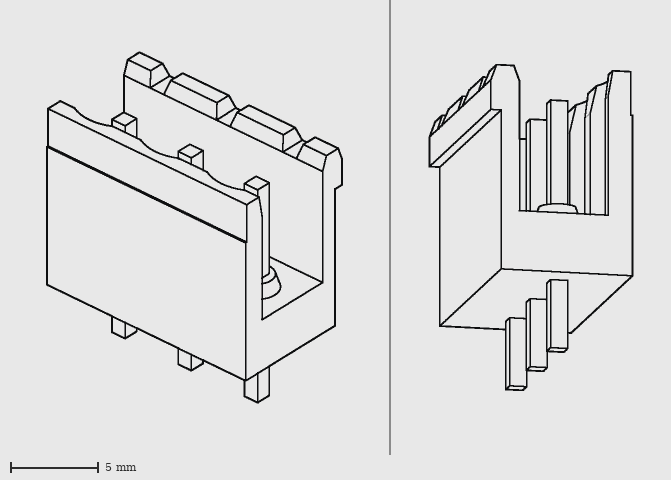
import cadquery as cq

length = 15.23
pole_count = 3
pitch = length / pole_count
pole_positions = [(i - (pole_count - 1) / 2) * pitch for i in range(pole_count)]

top_z = 12.0
floor_z = 3.49
front_y = -3.84
front_inner_y = -2.4
back_inner_y = 2.82
back_y = 3.9

front_step_z = 9.44
front_step_depth = 0.1
front_bevel_z = 10.5
front_bevel_depth = 0.27

latch_y = 4.51
latch_bottom_z = 9.35
latch_bevel_z = 11.09
latch_bevel_depth = 0.34

notch_floor_width = 1.04
notch_top_width = 1.54

scallop_radius = 3.04

pin_width = 1.0
pin_bottom_z = -4.0
pin_top_z = 10.56
collar_base_radius = 1.36
collar_top_radius = 1.07
collar_top_z = 4.35


def make_housing():
    """U-shaped channel with a stepped front wall and an outward latch rail at the back."""
    section = [
        (front_y, 0),
        (back_y, 0),
        (back_y, latch_bottom_z),
        (latch_y, latch_bottom_z),
        (latch_y, latch_bevel_z),
        (latch_y - latch_bevel_depth, top_z),
        (back_inner_y + latch_bevel_depth, top_z),
        (back_inner_y, latch_bevel_z),
        (back_inner_y, floor_z),
        (front_inner_y, floor_z),
        (front_inner_y, front_bevel_z),
        (front_inner_y - front_bevel_depth, top_z),
        (front_y + front_step_depth, top_z),
        (front_y + front_step_depth, front_step_z),
        (front_y, front_step_z),
    ]
    return cq.Workplane("YZ").polyline(section).close().extrude(length / 2, both=True)


def make_notch(x):
    """Flared notch through the beveled top of the latch rail."""
    section = [
        (x - notch_floor_width / 2, latch_bevel_z),
        (x + notch_floor_width / 2, latch_bevel_z),
        (x + notch_top_width / 2, top_z),
        (x - notch_top_width / 2, top_z),
    ]
    rail_thickness = latch_y - back_inner_y
    return (
        cq.Workplane("XZ", origin=(0, latch_y, 0))
        .polyline(section).close()
        .extrude(rail_thickness)
    )


def make_scallop(x):
    """Front half of the clearance cylinder, from the channel floor to the top."""
    return (
        cq.Workplane("XY", origin=(x, 0, floor_z))
        .moveTo(-scallop_radius, 0)
        .threePointArc((0, -scallop_radius), (scallop_radius, 0))
        .close()
        .extrude(top_z - floor_z)
    )


def make_pin(x):
    """Square pin passing through the housing floor."""
    return (
        cq.Workplane("XY", origin=(x, 0, pin_bottom_z))
        .rect(pin_width, pin_width)
        .extrude(pin_top_z - pin_bottom_z)
    )


def make_collar(x):
    """Conical collar standing on the channel floor."""
    cone = cq.Solid.makeCone(
        collar_base_radius, collar_top_radius, collar_top_z - floor_z, pnt=cq.Vector(x, 0, floor_z)
    )
    return cq.Workplane(obj=cone)


result = make_housing()
for pole_x in pole_positions:
    result = result.cut(make_notch(pole_x)).cut(make_scallop(pole_x))
    result = result.union(make_collar(pole_x)).union(make_pin(pole_x))